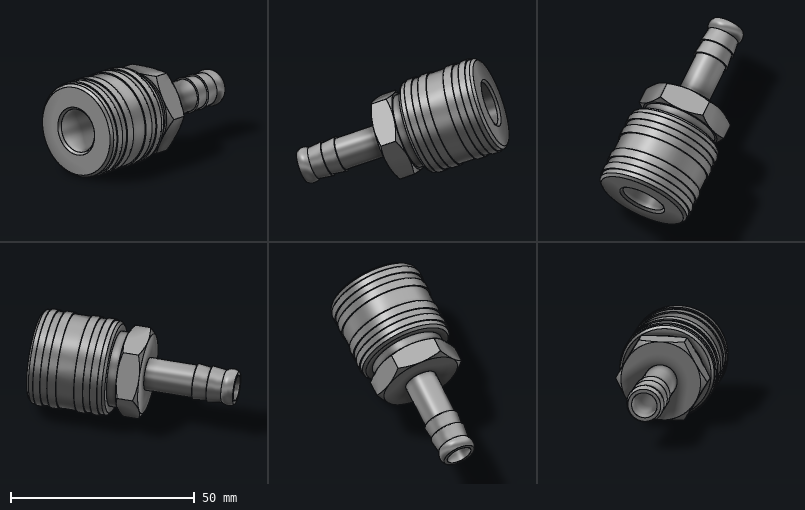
import cadquery as cq
import math

total_length = 56.0
sleeve_length = 22.0
hex_start = 24.7
hex_end = 30.95

sleeve_radius = 13.05
sleeve_chamfer = 0.7
band_radius = 13.41
band_spans = [(2.0, 4.0), (6.0, 8.45), (13.55, 16.0), (18.0, 20.0)]

neck_radius = 10.4
across_flats = 22.05
hex_chamfer_angle = 30.0

tail_radius = 4.55
barb_radius = 5.05
barb_length = 4.05
barb_count = 2
bead_length = 3.35
bead_radius = 5.15
bead_start = total_length - bead_length

socket_radius = 6.05
socket_chamfer = 0.7
socket_depth = sleeve_length
bore_radius = 3.5


def cylinder(radius, start, end):
    """Cylinder on the Y axis between two axial positions."""
    return cq.Workplane("XZ", origin=(0, start, 0)).circle(radius).extrude(start - end)


def revolve_profile(profile):
    """Turn a closed (radius, axial position) profile about the Y axis."""
    return profile.close().revolve(360, (0, 0, 0), (0, 1, 0))


def make_sleeve():
    sleeve = cylinder(sleeve_radius, 0, sleeve_length).edges().chamfer(sleeve_chamfer)
    for start, end in band_spans:
        sleeve = sleeve.union(cylinder(band_radius, start, end))
    return sleeve


def make_hexagon():
    """Hexagon with corners on the X axis, its corners chamfered on both ends."""
    corner_radius = across_flats / 2 / math.cos(math.pi / 6)
    prism = (
        cq.Workplane("XZ", origin=(0, hex_start, 0))
        .polygon(6, 2 * corner_radius)
        .extrude(hex_start - hex_end)
    )
    face_radius = across_flats / 2
    corner_drop = (corner_radius - face_radius) * math.tan(math.radians(hex_chamfer_angle))
    envelope = revolve_profile(
        cq.Workplane("XY")
        .moveTo(0, hex_start)
        .lineTo(face_radius, hex_start)
        .lineTo(corner_radius, hex_start + corner_drop)
        .lineTo(corner_radius, hex_end - corner_drop)
        .lineTo(face_radius, hex_end)
        .lineTo(0, hex_end)
    )
    return prism.intersect(envelope)


def make_hose_tail():
    """Plain stem, conical barbs and a rounded end bead."""
    barbs_start = bead_start - barb_count * barb_length
    profile = cq.Workplane("XY").moveTo(0, hex_end).lineTo(tail_radius, hex_end)
    profile = profile.lineTo(tail_radius, barbs_start)
    for index in range(barb_count):
        barb_start = barbs_start + index * barb_length
        profile = profile.lineTo(barb_radius, barb_start).lineTo(tail_radius, barb_start + barb_length)
    profile = profile.threePointArc(
        (bead_radius, bead_start + bead_length / 2), (tail_radius, total_length)
    )
    return revolve_profile(profile.lineTo(0, total_length))


def make_bores():
    """Through bore widened to a chamfered socket at the mouth."""
    return revolve_profile(
        cq.Workplane("XY")
        .lineTo(socket_radius + socket_chamfer, 0)
        .lineTo(socket_radius, socket_chamfer)
        .lineTo(socket_radius, socket_depth)
        .lineTo(bore_radius, socket_depth)
        .lineTo(bore_radius, total_length)
        .lineTo(0, total_length)
    )


result = (
    make_sleeve()
    .union(cylinder(neck_radius, sleeve_length, hex_start))
    .union(make_hexagon())
    .union(make_hose_tail())
    .cut(make_bores())
)